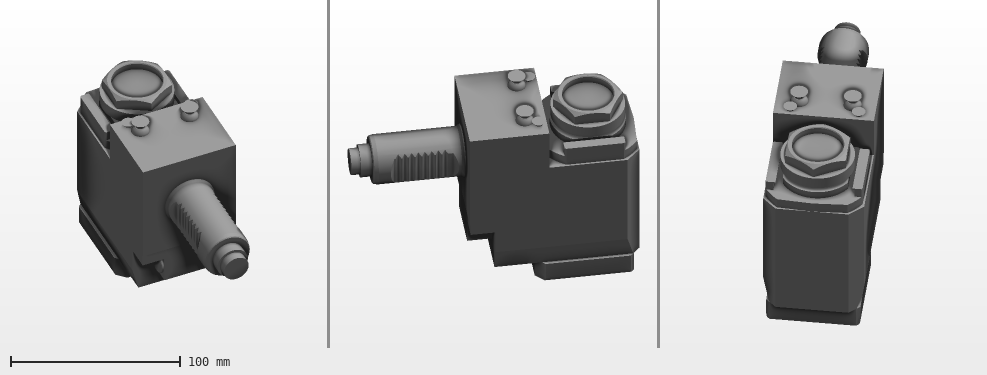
import cadquery as cq
import math


half_width = 30.0
front_x = -27.5
wall_x = 27.5
lower_back_x = 59.7
back_x = 74.4
mount_x = 75.0
top_z = 32.7
ledge_z = 6.1
upper_bottom_z = -40.2
bottom_z = -70.5
corner_chamfer = 8.3
skirt_height = 15.0
skirt_inset = 3.9

pad_bottom_z = -83.5
pad_front_x = -23.5
pad_back_x = 35.1
pad_half_width = 28.0
pad_front_chamfer = 2.2
pad_back_chamfer = 5.8
pad_edge_height = 2.0
pad_edge_inset = 0.5

block_bottom_z = -56.8
block_half_width = 16.0
port_x = 67.1
port_z = -48.0
port_radius = 6.8
port_height = 1.7
port_chamfer = 0.5

shank_end_x = 142.0
shank_radius = 15.0
collar_radius = 16.0
collar_straight = 0.7
collar_length = 2.2
barrel_end_x = 129.8
barrel_chamfer_length = 3.0
barrel_chamfer_depth = 0.5
barrel_edge = 0.5
step_radius = 9.8
step_end_x = 136.6
tip_radius = 8.0

tooth_count = 8
tooth_depth = 1.7
crest_y = 11.9
root_y = crest_y - tooth_depth
first_root_x = 86.8
last_root_x = 114.8
tooth_pitch = (last_root_x - first_root_x) / (tooth_count - 1)
flat_start_x = 82.0
flat_end_x = 117.1
flat_exit_x = 119.7
cut_y = 17.0

plate_top_z = 12.4
plate_half_width = 28.8
plate_nose_half = 1.9
plate_nose_x = 27.3
plate_end_x = 26.1
plate_corner_y = 21.0
plate_radius = math.hypot(plate_end_x, plate_corner_y)
rib_top_z = 18.5
rib_half_length = 18.1
rib_inner_y = 24.0
rib_lip_y = 22.9
rib_lip_height = 1.0

ring_radius = 22.5
ring_half_flats = 19.3
ring_top_z = 17.1
neck_radius = 18.1
nut_bottom_z = 18.8
nut_flange_z = 19.8
nut_bottom_radius = 19.2
nut_flange_radius = 22.0
hex_bottom_z = 27.3
hex_top_z = 35.0
hex_flats = 36.1
hex_chamfer_radius = 17.6
hex_chamfer_angle = 30
bore_radius = 15.3
bore_depth = 4.7
bore_chamfer = 0.5

nozzle_x = 40.0
nozzle_y = 16.0
nozzle_top_z = 40.0
nozzle_head_radius = 5.3
nozzle_neck_radius = 2.7
nozzle_cone_height = 2.9
ball_radius = 5.6
ball_sink = 1.0
ball_height = 3.5
plug_x = 32.4
plug_y = 20.3
plug_height = 2.2
plug_top_radius = 4.0
plug_bottom_radius = 2.4


def box(x0, x1, y0, y1, z0, z1):
    return cq.Workplane("XY").box(x1 - x0, y1 - y0, z1 - z0, centered=False).translate((x0, y0, z0))


def extrude_along_x(section, x0, x1):
    return cq.Workplane("YZ", origin=(x0, 0, 0)).polyline(section).close().extrude(x1 - x0)


def turn(profile):
    return cq.Workplane("XZ").polyline(profile).close().revolve(360, (0, 0, 0), (0, 1, 0))


def make_lower_housing():
    skirt_top_z = bottom_z + skirt_height
    bottom_half = half_width - skirt_inset
    section = [
        (-half_width, ledge_z), (-half_width, skirt_top_z), (-bottom_half, bottom_z),
        (bottom_half, bottom_z), (half_width, skirt_top_z), (half_width, ledge_z),
    ]
    body = extrude_along_x(section, front_x, lower_back_x)
    outline = (
        box(front_x, lower_back_x, -half_width, half_width, bottom_z, ledge_z)
        .edges("|Z and <X").chamfer(corner_chamfer)
    )
    return body.intersect(outline)


def make_upper_housing():
    block = box(wall_x, back_x, -half_width, half_width, upper_bottom_z, top_z)
    mount = box(back_x, mount_x, -half_width, half_width, -top_z, top_z)
    return block.union(mount)


def make_base_pad():
    pad = box(pad_front_x, pad_back_x, -pad_half_width, pad_half_width, pad_bottom_z, bottom_z)
    pad = pad.edges("|Z and <X").chamfer(pad_front_chamfer)
    pad = pad.edges("|Z and >X").chamfer(pad_back_chamfer)
    bottom_half = pad_half_width - pad_edge_inset
    edge_z = pad_bottom_z + pad_edge_height
    section = [
        (-pad_half_width, bottom_z), (-pad_half_width, edge_z), (-bottom_half, pad_bottom_z),
        (bottom_half, pad_bottom_z), (pad_half_width, edge_z), (pad_half_width, bottom_z),
    ]
    bevelled = extrude_along_x(section, pad_front_x, pad_back_x)
    return pad.intersect(bevelled)


def make_coolant_block():
    block = box(lower_back_x, back_x, -block_half_width, block_half_width, block_bottom_z, upper_bottom_z)
    port = (
        cq.Workplane("XZ", origin=(port_x, -block_half_width, port_z))
        .circle(port_radius).extrude(port_height)
        .faces("<Y").chamfer(port_chamfer)
    )
    return block.union(port)


def make_shank():
    profile = [
        (mount_x, 0),
        (mount_x, collar_radius),
        (mount_x + collar_straight, collar_radius),
        (mount_x + collar_length, shank_radius),
        (barrel_end_x - barrel_chamfer_length, shank_radius),
        (barrel_end_x - barrel_edge, shank_radius - barrel_chamfer_depth),
        (barrel_end_x, shank_radius - barrel_chamfer_depth - barrel_edge),
        (barrel_end_x, step_radius),
        (step_end_x, step_radius),
        (step_end_x, tip_radius),
        (shank_end_x, tip_radius),
        (shank_end_x, 0),
    ]
    shank = cq.Workplane("XY").polyline(profile).close().revolve(360, (0, 0, 0), (1, 0, 0))
    teeth = make_tooth_cutter()
    return shank.cut(teeth).cut(teeth.mirror("XZ"))


def make_tooth_cutter():
    rise = cut_y - crest_y
    end_run = rise * (flat_exit_x - flat_end_x) / (shank_radius - crest_y)
    points = [(flat_start_x - rise, cut_y), (flat_start_x, crest_y)]
    for i in range(tooth_count):
        root_x = first_root_x + i * tooth_pitch
        points += [(root_x - tooth_depth, crest_y), (root_x, root_y), (root_x + tooth_depth, crest_y)]
    points += [(flat_end_x, crest_y), (flat_end_x + end_run, cut_y)]
    return cq.Workplane("XY").polyline(points).close().extrude(shank_radius, both=True)


def make_cover_plate():
    side_x = math.sqrt(plate_radius**2 - plate_half_width**2)
    arc_angle = (math.atan2(plate_half_width, side_x) + math.atan2(plate_corner_y, plate_end_x)) / 2
    arc_x = plate_radius * math.cos(arc_angle)
    arc_y = plate_radius * math.sin(arc_angle)
    outline = (
        cq.Workplane("XY", origin=(0, 0, ledge_z))
        .moveTo(-side_x, plate_half_width)
        .lineTo(side_x, plate_half_width)
        .threePointArc((arc_x, arc_y), (plate_end_x, plate_corner_y))
        .lineTo(plate_nose_x, plate_nose_half)
        .lineTo(plate_nose_x, -plate_nose_half)
        .lineTo(plate_end_x, -plate_corner_y)
        .threePointArc((arc_x, -arc_y), (side_x, -plate_half_width))
        .lineTo(-side_x, -plate_half_width)
        .threePointArc((-arc_x, -arc_y), (-plate_end_x, -plate_corner_y))
        .lineTo(-plate_nose_x, -plate_nose_half)
        .lineTo(-plate_nose_x, plate_nose_half)
        .lineTo(-plate_end_x, plate_corner_y)
        .threePointArc((-arc_x, arc_y), (-side_x, plate_half_width))
        .close()
    )
    full = outline.extrude(rib_top_z - ledge_z)
    keep = box(-plate_nose_x, plate_nose_x, -plate_half_width, plate_half_width, ledge_z, plate_top_z)
    lip_z = rib_top_z - rib_lip_height
    rib = box(-rib_half_length, rib_half_length, rib_inner_y, plate_half_width, plate_top_z, rib_top_z)
    rib = rib.union(box(-rib_half_length, rib_half_length, rib_lip_y, rib_inner_y, lip_z, rib_top_z))
    return full.intersect(keep.union(rib).union(rib.mirror("XZ")))


def make_nozzle():
    neck_top_z = nozzle_top_z - nozzle_cone_height
    profile = [
        (0, top_z), (nozzle_neck_radius, top_z), (nozzle_neck_radius, neck_top_z),
        (nozzle_head_radius, nozzle_top_z), (0, nozzle_top_z),
    ]
    stem = turn(profile)
    ball = cq.Workplane("XY").sphere(ball_radius).translate((0, 0, top_z - ball_sink))
    below_flat = box(
        -ball_radius, ball_radius, -ball_radius, ball_radius,
        top_z - ball_sink - ball_radius, top_z + ball_height,
    )
    return stem.union(ball.intersect(below_flat))


def make_plug():
    profile = [
        (0, 0), (plug_bottom_radius, 0), (plug_top_radius, plug_height), (0, plug_height),
    ]
    plug = turn(profile)
    return plug.translate((0, 0, top_z))


def make_housing():
    housing = make_lower_housing().union(make_upper_housing())
    housing = housing.union(make_base_pad())
    housing = housing.union(make_coolant_block())
    housing = housing.union(make_shank())
    housing = housing.union(make_cover_plate())
    for side in (-1, 1):
        housing = housing.union(make_nozzle().translate((nozzle_x, side * nozzle_y, 0)))
        housing = housing.union(make_plug().translate((plug_x, side * plug_y, 0)))
    return housing


def make_hex_head():
    corner_radius = hex_flats / math.sqrt(3)
    height = hex_top_z - hex_bottom_z
    head = cq.Workplane("XY", origin=(0, 0, hex_bottom_z)).polygon(6, 2 * corner_radius).extrude(height)
    drop = (corner_radius - hex_chamfer_radius) * math.tan(math.radians(hex_chamfer_angle))
    envelope = [
        (0, hex_bottom_z), (corner_radius, hex_bottom_z), (corner_radius, hex_top_z - drop),
        (hex_chamfer_radius, hex_top_z), (0, hex_top_z),
    ]
    return head.intersect(turn(envelope))


def make_spindle():
    ring_height = ring_top_z - plate_top_z
    ring = cq.Workplane("XY", origin=(0, 0, plate_top_z)).circle(ring_radius).extrude(ring_height)
    ring = ring.intersect(
        box(-ring_radius, ring_radius, -ring_half_flats, ring_half_flats, plate_top_z, ring_top_z)
    )
    profile = [
        (0, ring_top_z), (neck_radius, ring_top_z), (neck_radius, nut_bottom_z),
        (nut_bottom_radius, nut_bottom_z), (nut_flange_radius, nut_flange_z),
        (nut_flange_radius, hex_bottom_z), (0, hex_bottom_z),
    ]
    nut = turn(profile)
    bore = [
        (0, hex_top_z - bore_depth), (bore_radius, hex_top_z - bore_depth),
        (bore_radius, hex_top_z - bore_chamfer), (bore_radius + bore_chamfer, hex_top_z), (0, hex_top_z),
    ]
    bore_cutter = turn(bore)
    return ring.union(nut).union(make_hex_head()).cut(bore_cutter)


housing = make_housing()
spindle = make_spindle()

result = cq.Compound.makeCompound([housing.val(), spindle.val()])